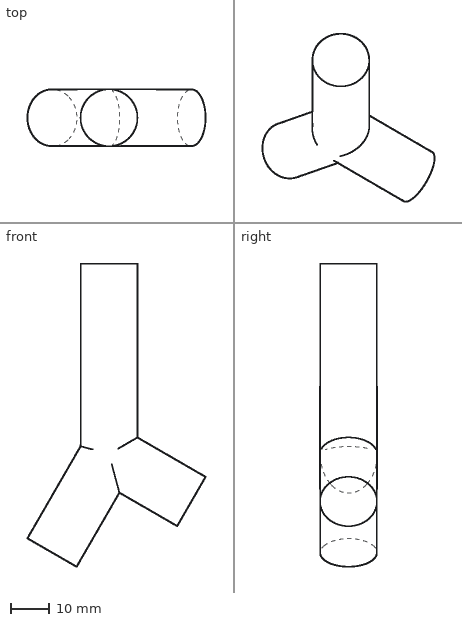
import cadquery as cq
import math

overall_height = 79.7
rod_diameter = 15.0
long_leg_length = 30.0
short_leg_length = 25.0
long_leg_angle = 210.0
short_leg_angle = 120.0

rod_radius = rod_diameter / 2

long_leg_tilt = math.radians(long_leg_angle - 180)
long_leg_drop = long_leg_length * math.cos(long_leg_tilt) + rod_radius * math.sin(long_leg_tilt)
stem_length = overall_height - long_leg_drop


def rod(length, angle):
    """Round rod from the junction at the origin, leaning clockwise from +Z toward +X."""
    upright = cq.Workplane("XY").circle(rod_radius).extrude(length)
    return upright.rotate((0, 0, 0), (0, 1, 0), angle)


stem = rod(stem_length, 0)
long_leg = rod(long_leg_length, long_leg_angle)
short_leg = rod(short_leg_length, short_leg_angle)

result = stem.union(long_leg).union(short_leg)